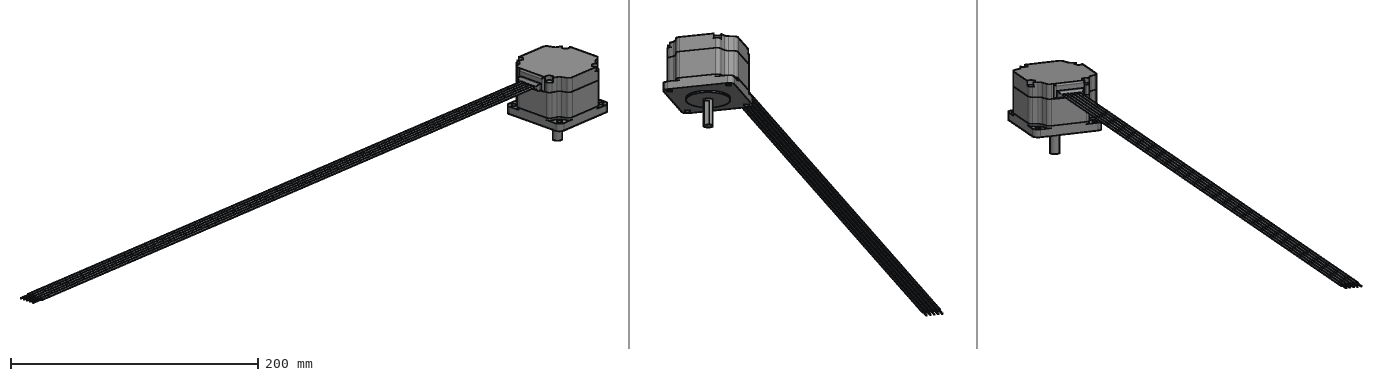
import cadquery as cq

FRAME_WIDTH = 60.0
HALF_FRAME = FRAME_WIDTH / 2
FRAME_HEIGHT = 44.0
COVER_HEIGHT = 12.5
COVER_BASE = FRAME_HEIGHT - COVER_HEIGHT
STATOR_BASE = 8.5

FLANGE_THICKNESS = 6.5
FLANGE_CORNER_RADIUS = 4.5
HOLE_SPACING = 50.0
HOLE_DIAMETER = 4.5

HOLLOW_MOUTH = 18.0
HOLLOW_ROOT = 21.0
HOLLOW_MOUTH_RADIUS = 4.0
HOLLOW_ROOT_RADIUS = 4.5

SCREW_ALONG_SIDE = 16.0
SCREW_FROM_AXIS = 27.0
SCREW_RECESS_RADIUS = 3.0
SCREW_RECESS_DEPTH = 4.0

PILOT_RADIUS = 18.0
PILOT_HEIGHT = 1.6
SHAFT_RADIUS = 4.0
SHAFT_LENGTH = 24.0
SHAFT_ROUND_LENGTH = 3.0
SHAFT_FLAT_OFFSET = 3.0

PAD_WIDTH = 26.5
PAD_DEPTH = 2.0
PAD_FILLET = 1.0
PAD_FACE = -HALF_FRAME - PAD_DEPTH
LEAD_Z = 35.0
GROMMET_WIDTH = 22.5
GROMMET_HEIGHT = 6.0
GROMMET_LENGTH = 4.0
GROMMET_FILLET = 2.0

OVERALL_LENGTH = 665.0
LEAD_TIP = HALF_FRAME - OVERALL_LENGTH
STRIPPED_LENGTH = 9.0
LEAD_COUNT = 5
LEAD_PITCH = 3.0
LEAD_RADIUS = 1.0
CORE_RADIUS = 0.3


def on_four_sides(shape):
    """Copies of a shape turned about the motor axis by each quarter turn."""
    return [shape.rotate((0, 0, 0), (0, 0, 1), 90 * quarter) for quarter in range(4)]


def frame_block(base, height):
    """Square prism with a rounded hollow at each corner."""
    block = cq.Workplane("XY", origin=(0, 0, base)).rect(FRAME_WIDTH, FRAME_WIDTH).extrude(height)
    hollow = (
        cq.Workplane("XY", origin=(0, 0, base))
        .moveTo(HOLLOW_MOUTH, HALF_FRAME)
        .lineTo(HOLLOW_ROOT, HOLLOW_ROOT)
        .lineTo(HALF_FRAME, HOLLOW_MOUTH)
        .lineTo(HALF_FRAME, HALF_FRAME)
        .close()
        .extrude(height)
    )
    for corner_hollow in on_four_sides(hollow):
        block = block.cut(corner_hollow)
    inner = (HOLLOW_ROOT + HALF_FRAME) / 2
    roots = cq.selectors.BoxSelector((-inner, -inner, base), (inner, inner, base + height))
    block = block.edges("|Z").edges(roots).fillet(HOLLOW_ROOT_RADIUS)
    for side in ("<X", ">X", "<Y", ">Y"):
        block = block.faces(side).edges("|Z").fillet(HOLLOW_MOUTH_RADIUS)
    return block


def shaft_with_flat():
    shaft = cq.Workplane("XY").circle(SHAFT_RADIUS).extrude(-SHAFT_LENGTH)
    flat = (
        cq.Workplane("XY", origin=(0, SHAFT_FLAT_OFFSET, -SHAFT_LENGTH))
        .box(
            2 * SHAFT_RADIUS,
            SHAFT_RADIUS,
            SHAFT_LENGTH - SHAFT_ROUND_LENGTH,
            centered=(True, False, False),
        )
    )
    return shaft.cut(flat)


def make_front_bracket():
    """Mounting flange with its collar, pilot boss and output shaft."""
    bracket = (
        cq.Workplane("XY")
        .rect(FRAME_WIDTH, FRAME_WIDTH)
        .extrude(FLANGE_THICKNESS)
        .edges("|Z")
        .fillet(FLANGE_CORNER_RADIUS)
        .faces(">Z")
        .workplane()
        .rect(HOLE_SPACING, HOLE_SPACING, forConstruction=True)
        .vertices()
        .hole(HOLE_DIAMETER)
    )
    collar = frame_block(FLANGE_THICKNESS, STATOR_BASE - FLANGE_THICKNESS)
    pilot = cq.Workplane("XY").circle(PILOT_RADIUS).extrude(-PILOT_HEIGHT)
    return bracket.union(collar).union(pilot).union(shaft_with_flat())


def make_stator():
    return frame_block(STATOR_BASE, COVER_BASE - STATOR_BASE)


def make_rear_cover():
    cover = frame_block(COVER_BASE, COVER_HEIGHT)
    recess = (
        cq.Workplane("XY", origin=(SCREW_ALONG_SIDE, -SCREW_FROM_AXIS, FRAME_HEIGHT))
        .circle(SCREW_RECESS_RADIUS)
        .extrude(-SCREW_RECESS_DEPTH)
    )
    for corner_recess in on_four_sides(recess):
        cover = cover.cut(corner_recess)
    return cover


def lead_rod(x, radius, tip):
    """Round rod along -Y from the pad face to the given tip."""
    return cq.Workplane("XZ", origin=(x, PAD_FACE, LEAD_Z)).circle(radius).extrude(PAD_FACE - tip)


def make_leads():
    """Outlet pad, grommet and the leads moulded into it, as one body."""
    pad = (
        cq.Workplane("XZ", origin=(0, -HALF_FRAME, COVER_BASE + COVER_HEIGHT / 2))
        .rect(PAD_WIDTH, COVER_HEIGHT)
        .extrude(PAD_DEPTH)
        .faces("<Y")
        .edges()
        .fillet(PAD_FILLET)
    )
    grommet = (
        cq.Workplane("XZ", origin=(0, PAD_FACE, LEAD_Z))
        .rect(GROMMET_WIDTH, GROMMET_HEIGHT)
        .extrude(GROMMET_LENGTH)
        .faces("<Y")
        .edges()
        .fillet(GROMMET_FILLET)
    )
    leads = pad.union(grommet)
    for number in range(LEAD_COUNT):
        x = (number - (LEAD_COUNT - 1) / 2) * LEAD_PITCH
        insulation = lead_rod(x, LEAD_RADIUS, LEAD_TIP + STRIPPED_LENGTH)
        core = lead_rod(x, CORE_RADIUS, LEAD_TIP)
        leads = leads.union(insulation).union(core)
    return leads


front_bracket = make_front_bracket()
stator = make_stator()
rear_cover = make_rear_cover()
leads = make_leads()

result = cq.Compound.makeCompound([
    front_bracket.val(),
    stator.val(),
    rear_cover.val(),
    leads.val(),
])